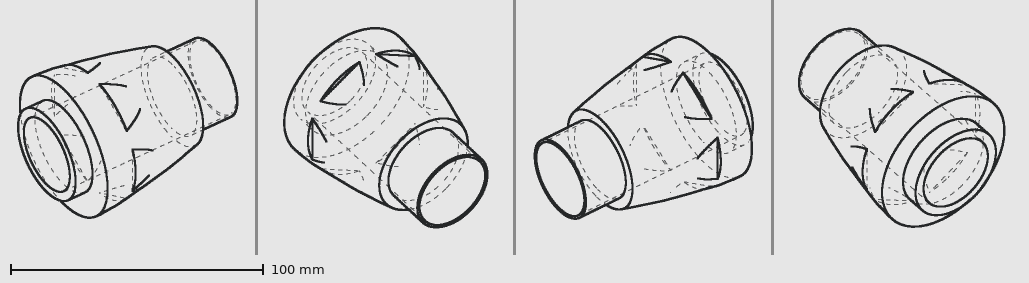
import cadquery as cq

collar_start = 8.2
rim_end = 10.2
band_end = 17.3
flats_start = 22.6
cone_start = 43.1
body_end = 60.4
length = 80.0

front_radius = 40.0 / 2
collar_radius = 61.0 / 2
band_end_radius = 30.0
cone_start_radius = 25.7
body_end_radius = 21.6
rear_radius = 34.2 / 2
bore_radius = 32.0 / 2

grip_mid = (27.9, 30.2)
cone_mid = (23.8, 51.8)

flat_count = 6
flat_distance = 27.0
flat_cutter_depth = 2 * (collar_radius - flat_distance)
flat_cutter_length = cone_start - flats_start
flat_cutter_width = 2 * collar_radius


def make_body():
    """Revolve the stepped, tapering outline, including its bore, about Y."""
    return (
        cq.Workplane("XY")
        .moveTo(bore_radius, 0)
        .lineTo(front_radius, 0)
        .lineTo(front_radius, collar_start)
        .lineTo(collar_radius, collar_start)
        .lineTo(collar_radius, rim_end)
        .lineTo(band_end_radius, band_end)
        .threePointArc(grip_mid, (cone_start_radius, cone_start))
        .threePointArc(cone_mid, (body_end_radius, body_end))
        .lineTo(rear_radius, body_end)
        .lineTo(rear_radius, length)
        .lineTo(bore_radius, length)
        .close()
        .revolve(360, (0, 0, 0), (0, 1, 0))
    )


def make_flat_cutter(angle):
    """Block outside one grip flat, turned about Y by the given angle."""
    return (
        cq.Workplane("XY")
        .box(flat_cutter_depth, flat_cutter_length, flat_cutter_width, centered=(False, False, True))
        .translate((flat_distance, flats_start, 0))
        .rotate((0, 0, 0), (0, 1, 0), angle)
    )


result = make_body()
for index in range(flat_count):
    result = result.cut(make_flat_cutter(index * 360 / flat_count))